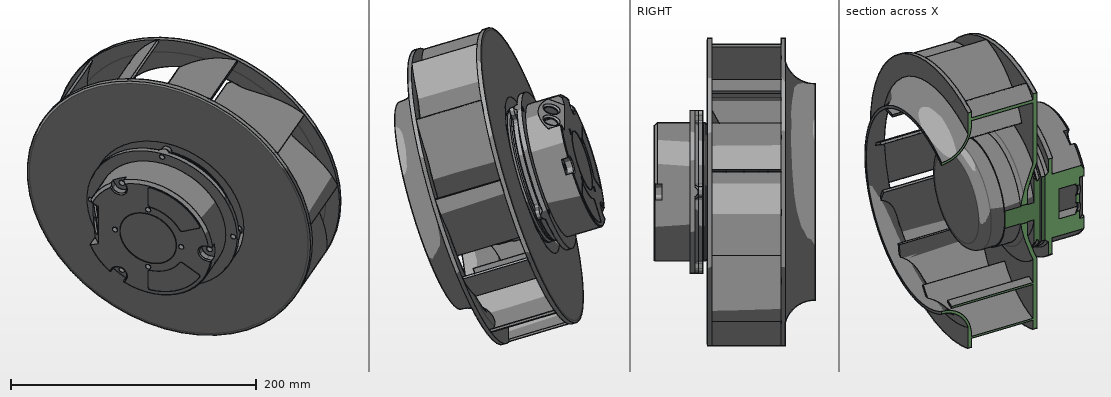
import cadquery as cq
import math


wheel_radius = 125.2
back_thickness = 4.0
rim_bevel_width = 2.0
rim_bevel_height = 0.3
shroud_bottom = 60.0
shroud_rim_thickness = 3.5
inlet_top = 88.0
inlet_arc_radius = 25.0
inlet_arc_center_radius = 113.2
inlet_arc_center_y = 87.7
inlet_thickness = inlet_arc_center_y - inlet_arc_radius - shroud_bottom

cup_radius = 66.5
cup_top = 12.8
collar_radius = 51.0
collar_top = 15.3

blade_count = 11
blade_pitch = 360 / blade_count
blade_thickness = 2.3
blade_inner_radius = 80.2
blade_top = 78.7
blade_arc_radius = 70.1
blade_arc_center_radius = 63.1
blade_tip_angle = 8.3

rotor_radius = 47.3
rotor_cap_radius = 46.3
rotor_step_y = 29.8
rotor_top = 49.5
rotor_cap_fillet = 7.5
rotor_flange_top = 3.0
rotor_flange_bottom = -3.0
rotor_groove_y = 0.0
rotor_groove_depth = 1.8

motor_radius = 56.4
flange_radius = 66.5
plate_top = -3.5
plate_bottom = -7.3
flange_top = -10.0
flange_bottom = -14.0
housing_bottom = -43.0
root_taper = 30

ear_radius = 4.3
ear_fillet = 2.3
mount_hole_radius = 2.3
mount_hole_circle = 63.0
mount_angles = [0, 90, 180, 270]

end_chamfer_width = 2.5
end_chamfer_height = 2.5
end_edge_chamfer = 0.8

mark_depth = 0.3
disc_mark_radius = 25.0
disc_mark_width = 0.3
window_inner_radius = 32.5
window_outer_radius = 52.5
window_start_angle = 28
window_end_angle = 90
window_corner = 2.0
end_hole_count = 4
end_hole_circle = 29.3
end_hole_radius = 2.3
end_hole_depth = 5.0
screw_angles = [0, 120, 240]
screw_circle = 51.5
screw_pocket_radius = 6.5
screw_pocket_depth = 6.3
screw_pocket_chamfer = 1.0
screw_hole_radius = 2.5
screw_hole_depth = 5.0

entry_top = -24.8
entry_inner_x = -43.8
entry_inner_half_width = 18.8
entry_outer_half_width = 22.5
entry_outer_x = -51.5
cable_hole_offset = 8.5
cable_hole_y = -34.0
cable_hole_radius = 5.8
cable_hole_chamfer = 1.5
cable_wall = 2.3
chamber_top = -20.0
chamber_half_width = 14.5
chamber_inner_x = -37.5
chamber_outer_x = -50.5


def face_plane(y):
    """Workplane across the axis at height y: local x is X, local y is Z, extrusion goes to -Y."""
    return cq.Workplane("XZ", origin=(0, y, 0))


def disc(radius, bottom, top):
    return face_plane(top).circle(radius).extrude(top - bottom)


def polar(radius, angle):
    return (radius * math.cos(math.radians(angle)), radius * math.sin(math.radians(angle)))


def revolved(profile, angle=360):
    return profile.close().revolve(angle, (0, 0), (0, 1))


def turned(shape, angle):
    """Turn a shape about the fan axis, from +X towards +Z."""
    return shape.rotate((0, 0, 0), (0, 1, 0), -angle)



def inlet_radius_at(y, arc_radius):
    """Radius where a concave inlet arc has height y."""
    return inlet_arc_center_radius - math.sqrt(arc_radius**2 - (inlet_arc_center_y - y) ** 2)


def make_shroud():
    inner_arc = inlet_arc_radius + inlet_thickness
    rim_top = shroud_bottom + shroud_rim_thickness
    rim_corner = inlet_radius_at(rim_top, inlet_arc_radius)
    outer_throat = inlet_arc_center_radius - inlet_arc_radius
    inner_throat = inlet_arc_center_radius - inner_arc
    profile = (
        cq.Workplane("XY")
        .moveTo(inlet_arc_center_radius, shroud_bottom)
        .lineTo(wheel_radius, shroud_bottom)
        .lineTo(wheel_radius, rim_top)
        .lineTo(rim_corner, rim_top)
        .radiusArc((outer_throat, inlet_arc_center_y), inlet_arc_radius)
        .lineTo(outer_throat, inlet_top)
        .lineTo(inner_throat, inlet_top)
        .lineTo(inner_throat, inlet_arc_center_y)
        .radiusArc((inlet_arc_center_radius, shroud_bottom), -inner_arc)
    )
    return revolved(profile)


def make_back_plate():
    """Flat disc with a bevelled rim, dished into a cone that ends in a collar round the rotor."""
    cup_lid_bottom = cup_top - back_thickness
    profile = (
        cq.Workplane("XY")
        .moveTo(wheel_radius, rim_bevel_height)
        .lineTo(wheel_radius, back_thickness)
        .lineTo(cup_radius, back_thickness)
        .lineTo(collar_radius, cup_top)
        .lineTo(rotor_radius, collar_top)
        .lineTo(rotor_radius, cup_lid_bottom)
        .lineTo(collar_radius, cup_lid_bottom)
        .lineTo(cup_radius, 0)
        .lineTo(wheel_radius - rim_bevel_width, 0)
    )
    return revolved(profile)


def blade_arc_angle(radius):
    """Angle round the blade arc's centre, on local x, of the arc's point at a distance from the axis."""
    c = blade_arc_center_radius
    cosine = (radius**2 - c**2 - blade_arc_radius**2) / (2 * c * blade_arc_radius)
    return math.degrees(math.acos(cosine))


def make_blade():
    """Curved blade with square ends and its outer tip corner on the wheel radius, at angle 0."""
    tip_angle = blade_arc_angle(wheel_radius)
    inner_angle = blade_arc_angle(blade_inner_radius)
    middle_angle = (tip_angle + inner_angle) / 2

    def arc_point(radius, angle):
        x, z = polar(radius, angle)
        return (blade_arc_center_radius + x, z)

    inner_arc = blade_arc_radius - blade_thickness
    tip = arc_point(blade_arc_radius, tip_angle)
    blade = (
        face_plane(blade_top)
        .moveTo(*tip)
        .threePointArc(
            arc_point(blade_arc_radius, middle_angle),
            arc_point(blade_arc_radius, inner_angle),
        )
        .lineTo(*arc_point(inner_arc, inner_angle))
        .threePointArc(
            arc_point(inner_arc, middle_angle),
            arc_point(inner_arc, tip_angle),
        )
        .close()
        .extrude(blade_top - back_thickness)
    )
    return turned(blade, -math.degrees(math.atan2(tip[1], tip[0])))


def make_blade_space():
    """Ring between the back plate and the inside of the shroud, which limits the blades."""
    inner_arc = inlet_arc_radius + inlet_thickness
    profile = (
        cq.Workplane("XY")
        .moveTo(cup_radius, back_thickness)
        .lineTo(wheel_radius, back_thickness)
        .lineTo(wheel_radius, shroud_bottom)
        .lineTo(inlet_arc_center_radius, shroud_bottom)
        .radiusArc((inlet_radius_at(blade_top, inner_arc), blade_top), inner_arc)
        .lineTo(cup_radius, blade_top)
    )
    return revolved(profile)


def make_wheel():
    blade = make_blade().intersect(make_blade_space())
    wheel = make_back_plate().union(make_shroud())
    for i in range(blade_count):
        wheel = wheel.union(turned(blade, blade_tip_angle + i * blade_pitch))
    return wheel



def make_rotor():
    flange = disc(motor_radius, rotor_flange_bottom, rotor_flange_top)
    groove = revolved(
        cq.Workplane("XY")
        .moveTo(motor_radius - rotor_groove_depth, rotor_groove_y)
        .lineTo(motor_radius, rotor_groove_y + rotor_groove_depth)
        .lineTo(motor_radius, rotor_groove_y - rotor_groove_depth)
    )
    body = disc(rotor_radius, rotor_flange_bottom, rotor_step_y)
    cap = disc(rotor_cap_radius, rotor_step_y, rotor_top).faces(">Y").edges().fillet(rotor_cap_fillet)
    return flange.cut(groove).union(body).union(cap)



def eared_body(bottom, top, taper=0):
    """Motor body with four round-ended ears that reach the flange edge, filleted into the body."""
    body = disc(motor_radius, bottom, top)
    ear = (
        face_plane(top)
        .center(flange_radius / 2, 0)
        .slot2D(flange_radius, 2 * ear_radius)
        .extrude(top - bottom)
    )
    for angle in mount_angles:
        body = body.union(turned(ear, angle))
    ear_corners = body.edges("|Y").filter(
        lambda edge: math.hypot(edge.Center().x, edge.Center().z) < motor_radius + 0.3
    )
    body = ear_corners.fillet(ear_fillet)
    if taper:
        outline = body.faces(">Y").wires()
        body = outline.toPending().workplane().extrude(bottom - top, combine=False, taper=-taper)
    return body.intersect(disc(flange_radius, bottom, top))


def cut_mount_holes(body):
    for angle in mount_angles:
        x, z = polar(mount_hole_circle, angle)
        hole = face_plane(plate_top).center(x, z).circle(mount_hole_radius).extrude(plate_top - flange_bottom)
        body = body.cut(hole)
    return body


def make_stator_plate():
    return cut_mount_holes(eared_body(plate_bottom, plate_top))


def make_housing_shell():
    """Pot with its flange, and an eared base that spreads towards the flange."""
    shell = disc(motor_radius, housing_bottom, plate_bottom)
    shell = shell.union(disc(flange_radius, flange_bottom, flange_top))
    return shell.union(eared_body(flange_top, plate_bottom, root_taper))


def chamfer_end(body):
    """Wide bevel round the upper half of the end face and a narrow one round the lower half."""
    for width, height, start in (
        (end_chamfer_width, end_chamfer_height, 180),
        (end_edge_chamfer, end_edge_chamfer, 0),
    ):
        bevel = (
            cq.Workplane("XY")
            .moveTo(motor_radius, housing_bottom)
            .lineTo(motor_radius, housing_bottom + height)
            .lineTo(motor_radius - width, housing_bottom)
        )
        body = body.cut(turned(revolved(bevel, 180), start))
    return body


def cut_screw_pockets(body):
    """Pockets open to the side, with a bevelled mouth and a screw hole in the floor."""
    floor = housing_bottom + screw_pocket_depth
    mouth_radius = screw_pocket_radius + screw_pocket_chamfer

    def slot(y, radius):
        return (
            face_plane(y)
            .center(screw_circle + motor_radius / 2, 0)
            .slot2D(motor_radius + 2 * radius, 2 * radius)
        )

    pocket = slot(floor, screw_pocket_radius).extrude(screw_pocket_depth)
    mouth = slot(housing_bottom, mouth_radius).extrude(-screw_pocket_chamfer, taper=45)
    hole = face_plane(floor).center(screw_circle, 0).circle(screw_hole_radius).extrude(-screw_hole_depth)
    tool = pocket.union(mouth).union(hole)
    for angle in screw_angles:
        body = body.cut(turned(tool, angle))
    return body


def cut_face_marks(body):
    """Shallow ring groove and two curved windows on the end face."""
    floor = housing_bottom + mark_depth
    ring = (
        face_plane(floor)
        .circle(disc_mark_radius)
        .circle(disc_mark_radius - disc_mark_width)
        .extrude(mark_depth)
    )
    middle_angle = (window_start_angle + window_end_angle) / 2
    window = (
        face_plane(floor)
        .moveTo(*polar(window_inner_radius, window_start_angle))
        .lineTo(*polar(window_outer_radius, window_start_angle))
        .threePointArc(
            polar(window_outer_radius, middle_angle), polar(window_outer_radius, window_end_angle)
        )
        .lineTo(*polar(window_inner_radius, window_end_angle))
        .threePointArc(
            polar(window_inner_radius, middle_angle), polar(window_inner_radius, window_start_angle)
        )
        .close()
        .extrude(mark_depth)
        .edges("|Y")
        .fillet(window_corner)
    )
    return body.cut(ring).cut(window).cut(window.mirror("XY"))


def cut_end_holes(body):
    holes = (
        face_plane(housing_bottom)
        .polarArray(end_hole_circle, 0, 360, end_hole_count)
        .circle(end_hole_radius)
        .extrude(-end_hole_depth)
    )
    return body.cut(holes)


def entry_slope_y(x):
    """Height of the sloping cable entry face at x."""
    slope = (housing_bottom - entry_top) / (entry_inner_x + motor_radius)
    return entry_top + slope * (x + motor_radius)


def cut_cable_entry(body):
    """Sloping flat between flared side walls, with two bevelled holes into a chamber behind it."""
    side_slope = (entry_outer_half_width - entry_inner_half_width) / (entry_inner_x - entry_outer_x)
    far_half_width = entry_inner_half_width + side_slope * (entry_inner_x + flange_radius)
    mouth = (
        face_plane(flange_bottom)
        .moveTo(entry_inner_x, entry_inner_half_width)
        .lineTo(-flange_radius, far_half_width)
        .lineTo(-flange_radius, -far_half_width)
        .lineTo(entry_inner_x, -entry_inner_half_width)
        .close()
        .extrude(flange_bottom - housing_bottom)
    )
    below_slope = (
        cq.Workplane("XY")
        .moveTo(-flange_radius, entry_slope_y(-flange_radius))
        .lineTo(entry_inner_x, housing_bottom)
        .lineTo(-flange_radius, housing_bottom)
        .close()
        .extrude(motor_radius, both=True)
    )

    run = entry_inner_x + motor_radius
    rise = entry_top - housing_bottom
    wall_shift = cable_wall * math.hypot(run, rise) / rise
    chamber_bottom = entry_slope_y(entry_inner_x - wall_shift / 2)
    chamber = (
        cq.Workplane("XY")
        .moveTo(chamber_outer_x, chamber_top)
        .lineTo(chamber_outer_x, entry_slope_y(chamber_outer_x - wall_shift))
        .lineTo(entry_inner_x + wall_shift / 2, chamber_bottom)
        .lineTo(chamber_inner_x, chamber_bottom)
        .lineTo(chamber_inner_x, chamber_top)
        .close()
        .extrude(chamber_half_width, both=True)
    )
    body = body.cut(mouth.intersect(below_slope)).cut(chamber)

    hole_x = -motor_radius + run * (entry_top - cable_hole_y) / rise
    inward = cq.Vector(rise, run, 0)
    bevel_radius = cable_hole_radius + cable_hole_chamfer
    for z in (-cable_hole_offset, cable_hole_offset):
        center = cq.Vector(hole_x, cable_hole_y, z)
        bore = cq.Solid.makeCylinder(cable_hole_radius, 2 * cable_wall, center, inward)
        bevel = cq.Solid.makeCone(bevel_radius, cable_hole_radius, cable_hole_chamfer, center, inward)
        body = body.cut(cq.Workplane(bore)).cut(cq.Workplane(bevel))
    return body


def make_housing():
    housing = chamfer_end(make_housing_shell())
    for cut in (cut_mount_holes, cut_screw_pockets, cut_face_marks, cut_end_holes, cut_cable_entry):
        housing = cut(housing)
    return housing


wheel = make_wheel()
rotor = make_rotor()
stator_plate = make_stator_plate()
housing = make_housing()

result = cq.Compound.makeCompound([wheel.val(), rotor.val(), stator_plate.val(), housing.val()])